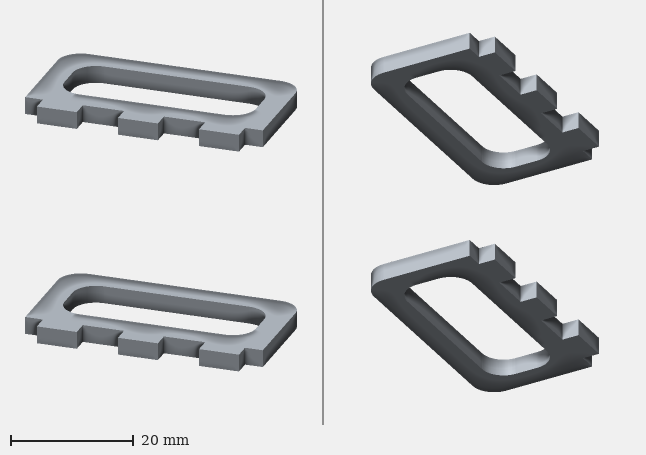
import cadquery as cq

plate_length = 41.0
total_depth = 23.0
total_height = 42.0
thickness = 3.0
corner_radius = 4.0
rim_width = 4.0
window_radius = 4.0
tab_count = 3
tab_depth = 3.0
tab_width = 6.9
tab_pitch = 14.0

plate_depth = total_depth - tab_depth
plate_center_y = tab_depth + plate_depth / 2
window_length = plate_length - 2 * rim_width
window_depth = plate_depth - 2 * rim_width
plate_levels = [0, total_height - thickness]


def make_tab(center_x):
    """Rectangular tab projecting forward from the front edge."""
    return cq.Workplane("XY").center(center_x, tab_depth / 2).rect(tab_width, tab_depth).extrude(thickness)


def make_window():
    """Rounded opening through the full thickness."""
    return (
        cq.Workplane("XY")
        .center(0, plate_center_y)
        .rect(window_length, window_depth)
        .extrude(thickness)
        .edges("|Z")
        .fillet(window_radius)
    )


def make_handle_plate(bottom_z):
    """Framed plate with rounded rear corners and a row of front tabs."""
    plate = (
        cq.Workplane("XY")
        .center(0, plate_center_y)
        .rect(plate_length, plate_depth)
        .extrude(thickness)
        .edges("|Z and >Y")
        .fillet(corner_radius)
        .cut(make_window())
    )
    for index in range(tab_count):
        center_x = (index - (tab_count - 1) / 2) * tab_pitch
        plate = plate.union(make_tab(center_x))
    return plate.translate((0, 0, bottom_z))


handle_plates = [make_handle_plate(level) for level in plate_levels]

result = cq.Compound.makeCompound([plate.solids().val() for plate in handle_plates])